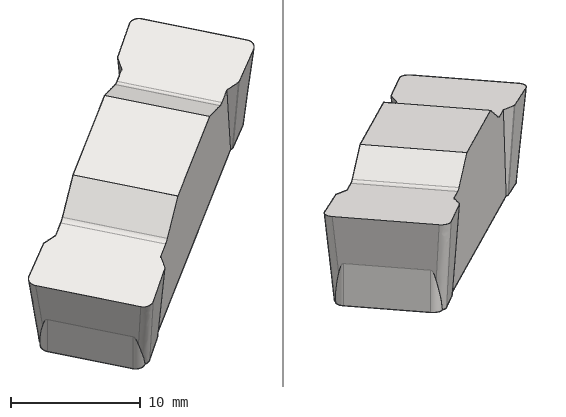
import cadquery as cq
import math

length = 30.1
total_height = 9.45
head_height = 7.6

core_width = 8.43
core_length = 29.0
crown_flat_length = 8.97
crown_slope = math.radians(30)
crown_root_radius = 1.0

shoulder_half_width = 4.88
shoulder_setback = 4.58
neck_setback = 5.65
side_taper = math.radians(1.8)
corner_radius = 0.78
shoulder_radius = 0.2

end_relief_angle = math.radians(7.8)
side_relief = 0.55
head_root_half_width = 3.0


def make_core():
    """Straight bar with rounded corners and a sloped crown."""
    crown_half = crown_flat_length / 2
    crown_foot = crown_half + (total_height - head_height) / math.tan(crown_slope)
    half_length = core_length / 2
    core = (
        cq.Workplane("YZ")
        .moveTo(-half_length, 0)
        .lineTo(half_length, 0)
        .lineTo(half_length, head_height)
        .lineTo(crown_foot, head_height)
        .lineTo(crown_half, total_height)
        .lineTo(-crown_half, total_height)
        .lineTo(-crown_foot, head_height)
        .lineTo(-half_length, head_height)
        .close()
        .extrude(core_width / 2, both=True)
    )
    for foot_y in (-crown_foot, crown_foot):
        root_edge = cq.selectors.NearestToPointSelector((0, foot_y, head_height))
        core = core.edges(root_edge).fillet(crown_root_radius)
    return core.edges("|Z").fillet(corner_radius)


def head_outline(end_offset, side_offset):
    """Right half of the -Y head, from end to neck, with its faces moved inward."""
    end_y = -length / 2 + end_offset
    shoulder_y = -length / 2 + shoulder_setback
    neck_y = -length / 2 + neck_setback
    core_half = core_width / 2

    flare_slope = (neck_setback - shoulder_setback) / (shoulder_half_width - core_half)
    neck_y -= side_offset * math.hypot(1, flare_slope)
    side_x = shoulder_half_width - side_offset / math.cos(side_taper)
    taper = math.tan(side_taper)
    shoulder_numerator = side_x + taper * (shoulder_y - neck_y - flare_slope * core_half)
    shoulder_x = shoulder_numerator / (1 - taper * flare_slope)
    shoulder_new_y = neck_y - flare_slope * (shoulder_x - core_half)
    end_x = side_x + taper * (shoulder_y - end_y)

    root_y = neck_y + flare_slope * (core_half - head_root_half_width)
    return [(end_x, end_y), (shoulder_x, shoulder_new_y), (head_root_half_width, root_y)]


def mirrored_outline(half):
    return half + [(-x, y) for x, y in reversed(half)]


def make_head():
    """Flared -Y head, narrowing toward the bottom."""
    top = head_outline(0, 0)
    bottom = head_outline(head_height * math.tan(end_relief_angle), side_relief)
    head = (
        cq.Workplane("XY")
        .polyline(mirrored_outline(bottom))
        .close()
        .workplane(offset=head_height)
        .polyline(mirrored_outline(top))
        .close()
        .loft(ruled=True, combine=True)
    )
    radii = (corner_radius, shoulder_radius)
    for bottom_point, top_point, radius in zip(bottom, top, radii):
        middle_x = (bottom_point[0] + top_point[0]) / 2
        middle_y = (bottom_point[1] + top_point[1]) / 2
        for side in (-1, 1):
            edge = cq.selectors.NearestToPointSelector((side * middle_x, middle_y, head_height / 2))
            head = head.edges(edge).fillet(radius)
    return head


front_head = make_head()
back_head = front_head.mirror("XZ")
result = make_core().union(front_head).union(back_head).clean()